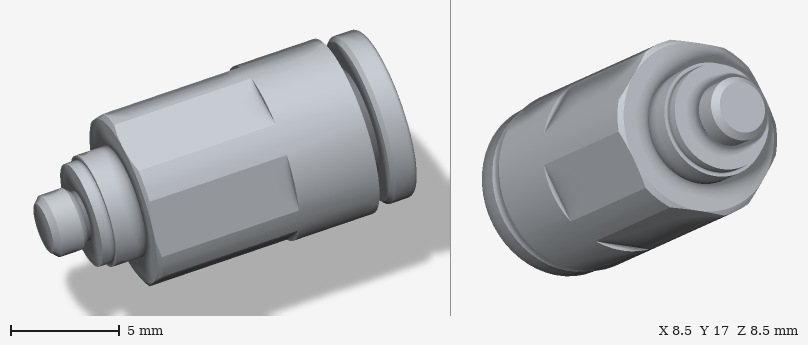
import cadquery as cq
import math


tip_cylinder_end = 1.4
neck_start = 1.75
small_collar_start = 1.9
large_collar_start = 2.5
body_start = 4.0
flats_end = 11.0
body_end = 15.0
button_start = 15.7
overall_length = 17.0

tip_radius = 1.5
small_collar_radius = 2.5
large_collar_radius = 2.7
body_diameter = 8.5
body_radius = body_diameter / 2
stem_radius = 2.6
button_radius = 4.075

flat_count = 6
across_flats = 8.0

tip_chamfer = 0.3
body_chamfer_angle = 30
body_chamfer_depth = body_radius - across_flats / 2
body_chamfer_length = body_chamfer_depth * math.tan(math.radians(body_chamfer_angle))
button_chamfer = 0.2
button_rounding = 0.2


def make_turned_part():
    """Revolve the half outline (radius along X) about the Y axis."""
    neck_radius = tip_radius - tip_chamfer
    outline = (
        cq.Workplane("XY")
        .moveTo(0, 0)
        .lineTo(tip_radius - tip_chamfer, 0)
        .lineTo(tip_radius, tip_chamfer)
        .lineTo(tip_radius, tip_cylinder_end)
        .lineTo(neck_radius, neck_start)
        .lineTo(neck_radius, small_collar_start)
        .lineTo(small_collar_radius, small_collar_start)
        .lineTo(small_collar_radius, large_collar_start)
        .lineTo(large_collar_radius, large_collar_start)
        .lineTo(large_collar_radius, body_start)
        .lineTo(body_radius - body_chamfer_depth, body_start)
        .lineTo(body_radius, body_start + body_chamfer_length)
        .lineTo(body_radius, body_end)
        .lineTo(stem_radius, body_end)
        .lineTo(stem_radius, button_start)
        .lineTo(button_radius - button_chamfer, button_start)
        .lineTo(button_radius, button_start + button_chamfer)
        .lineTo(button_radius, overall_length - button_rounding)
        .radiusArc((button_radius - button_rounding, overall_length), -button_rounding)
        .lineTo(0, overall_length)
        .close()
    )
    return outline.revolve(360, (0, 0, 0), (0, 1, 0))


def make_flat_cutter(angle):
    """Block that removes everything outside one hexagon flat."""
    block = cq.Workplane("XY").box(
        body_diameter, flats_end - body_start, body_radius, centered=(True, False, False)
    )
    return block.translate((0, body_start, across_flats / 2)).rotate((0, 0, 0), (0, 1, 0), angle)


result = make_turned_part()
for index in range(flat_count):
    result = result.cut(make_flat_cutter(index * 360 / flat_count))